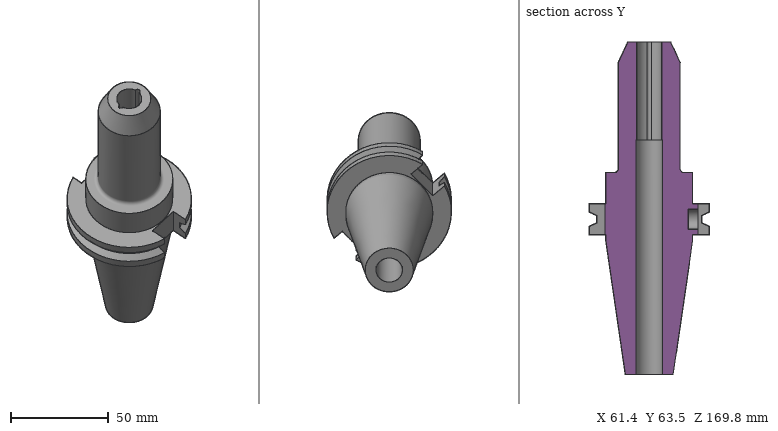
import cadquery as cq
import math


gauge_diameter = 44.45
taper_length = 68.25
taper_ratio = 7 / 24
shank_end_diameter = gauge_diameter - taper_length * taper_ratio

flange_diameter = 63.5
flange_bottom = 3.175
flange_thickness = 15.875
flange_top = flange_bottom + flange_thickness
flange_middle = flange_bottom + flange_thickness / 2
groove_floor_diameter = 56.2
groove_floor_width = 3.7
groove_wall_angle = 26
groove_depth = (flange_diameter - groove_floor_diameter) / 2
groove_mouth_width = groove_floor_width + 2 * groove_depth * math.tan(math.radians(groove_wall_angle))

slot_width = 16.383
deep_slot_floor = 25.0
shallow_slot_floor = 22.6
slot_hole_diameter = 10.0
slot_hole_depth = 5.0

collar_diameter = gauge_diameter
collar_top = 35.0
nose_diameter = 31.75
nose_top = 101.6
nose_tip_diameter = 22.0
nose_cone_height = 10.45
nose_root_radius = 2.0

tool_bore_diameter = 12.7
tool_bore_depth = 50.0
rear_bore_diameter = 13.5
coolant_groove_radius = 1.2
coolant_groove_offset = 6.5


def make_body():
    """Turned body: half section revolved about the Z axis."""
    nose_radius = nose_diameter / 2
    root_drop = nose_root_radius * (1 - math.sqrt(0.5))
    section = (
        cq.Workplane("XZ")
        .moveTo(0, -taper_length)
        .lineTo(shank_end_diameter / 2, -taper_length)
        .lineTo(gauge_diameter / 2, 0)
        .lineTo(gauge_diameter / 2, flange_bottom)
        .lineTo(flange_diameter / 2, flange_bottom)
        .lineTo(flange_diameter / 2, flange_middle - groove_mouth_width / 2)
        .lineTo(groove_floor_diameter / 2, flange_middle - groove_floor_width / 2)
        .lineTo(groove_floor_diameter / 2, flange_middle + groove_floor_width / 2)
        .lineTo(flange_diameter / 2, flange_middle + groove_mouth_width / 2)
        .lineTo(flange_diameter / 2, flange_top)
        .lineTo(collar_diameter / 2, flange_top)
        .lineTo(collar_diameter / 2, collar_top)
        .lineTo(nose_radius + nose_root_radius, collar_top)
        .threePointArc(
            (nose_radius + root_drop, collar_top + root_drop),
            (nose_radius, collar_top + nose_root_radius),
        )
        .lineTo(nose_radius, nose_top - nose_cone_height)
        .lineTo(nose_tip_diameter / 2, nose_top)
        .lineTo(0, nose_top)
        .close()
    )
    return section.revolve(360, (0, 0, 0), (0, 1, 0))


def make_drive_slot(side, floor_distance):
    """Cutter for a drive slot; side is -1 for -X and +1 for +X."""
    length = flange_diameter / 2
    return (
        cq.Workplane("XY")
        .box(length, slot_width, flange_thickness)
        .translate((side * (floor_distance + length / 2), 0, flange_middle))
    )


def make_slot_hole():
    """Cutter for the blind hole in the floor of the deeper slot."""
    return (
        cq.Workplane("YZ", origin=(-deep_slot_floor, 0, flange_middle))
        .circle(slot_hole_diameter / 2)
        .extrude(slot_hole_depth)
    )


def make_tool_bore():
    """Cutter for the tool bore, open at the nose, with a round groove on each of its Y sides."""
    mouth = cq.Workplane("XY", origin=(0, 0, nose_top))
    bore = mouth.circle(tool_bore_diameter / 2).extrude(-tool_bore_depth)
    grooves = (
        mouth.pushPoints([(0, side * coolant_groove_offset) for side in (-1, 1)])
        .circle(coolant_groove_radius)
        .extrude(-tool_bore_depth)
    )
    return bore.union(grooves)


def make_rear_bore():
    """Cutter for the bore from the shank end up to the end of the tool bore."""
    return (
        cq.Workplane("XY", origin=(0, 0, -taper_length))
        .circle(rear_bore_diameter / 2)
        .extrude(taper_length + nose_top - tool_bore_depth)
    )


result = (
    make_body()
    .cut(make_drive_slot(-1, deep_slot_floor))
    .cut(make_drive_slot(1, shallow_slot_floor))
    .cut(make_slot_hole())
    .cut(make_tool_bore())
    .cut(make_rear_bore())
)